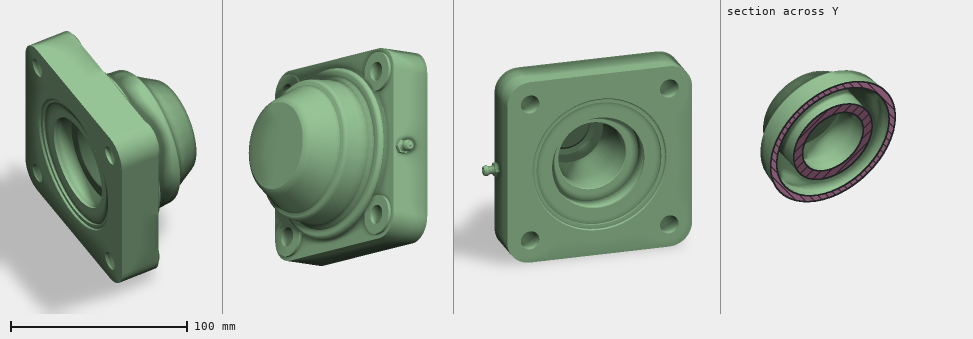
import cadquery as cq
import math


OVERALL_LENGTH = 119.0

PLATE_SIDE = 110.0
PLATE_THICKNESS = 24.2
CORNER_RADIUS = 13.6
BOLT_OFFSET = 41.4
BOLT_HOLE_DIAMETER = 11.0
PAD_RADIUS = 11.2
PAD_HEIGHT = 1.9
SEAT_RING_RADIUS = 47.6
SEAT_RING_HEIGHT = 2.3
SEAT_RADIUS = 39.5
SEAT_CHAMFER = 0.5
SEAT_END = PLATE_THICKNESS + SEAT_RING_HEIGHT

OPEN_COVER_FRONT = 1.3
OPEN_COVER_RIM_INNER_RADIUS = 37.1
OPEN_COVER_DISC_FRONT = 2.7
OPEN_COVER_BACK = 4.3
OPENING_RADIUS = 27.5

MOUTH_END = 6.4
MOUTH_FLARE = 0.6
INNER_RING_FRONT = 14.2
INNER_RING_BACK = 57.1
INNER_RING_RADIUS = 26.2
BORE_RADIUS = 20.0
BORE_CHAMFER = 0.4

COVER_END = 66.0
COVER_WALL = 2.4
COVER_FLANGE_RADIUS = 49.0
COVER_FLANGE_BACK = 29.6
COVER_FLANGE_FILLET = 2.1
COVER_FLANGE_CHAMFER = 0.4
FOOT_RADIUS = 43.8
SKIRT_START = 32.0
SKIRT_START_RADIUS = 41.6
SKIRT_END = 45.5
SKIRT_END_RADIUS = 40.3
SHOULDER_END = 47.7
SHOULDER_END_RADIUS = 38.1
CAP_START = 48.3
CAP_START_RADIUS = 36.5
CAP_END = 63.4
CAP_END_RADIUS = 28.0
CAP_FACE_RADIUS = 24.9

GROOVE_OUTER_RADIUS = 17.8
GROOVE_BOTTOM_RADIUS = 14.9
GROOVE_INNER_RADIUS = 13.3
GROOVE_DEPTH = 1.4

NIPPLE_Y = 18.8
NIPPLE_Z = -3.6
NIPPLE_LENGTH = OVERALL_LENGTH - PLATE_SIDE
HEX_ACROSS_FLATS = 7.3
HEX_HEIGHT = 2.3
NECK_BASE_RADIUS = 3.1
NECK_RADIUS = 2.3
NECK_THINNEST = 4.2
HEAD_START = 5.4
HEAD_START_RADIUS = 2.5
HEAD_WIDEST = 6.2
HEAD_RADIUS = 3.2
HEAD_SHOULDER = 7.5
HEAD_SHOULDER_RADIUS = 3.0
HEAD_END = 8.5
HEAD_END_RADIUS = 2.4
BALL_RADIUS = 1.3


def revolve_about_y(profile):
    """Close an XY profile of (radius, y) points and turn it about the Y axis."""
    return profile.close().revolve(360, (0, 0, 0), (0, 1, 0))


def cylinder_along_y(radius, start, end, places=((0, 0),)):
    """Cylinders along +Y from start to end, centred at the given (x, z) places."""
    plane = cq.Workplane("XZ", origin=(0, start, 0))
    return plane.pushPoints(places).circle(radius).extrude(start - end)


def make_housing():
    bolts = [(x, z) for x in (-BOLT_OFFSET, BOLT_OFFSET) for z in (-BOLT_OFFSET, BOLT_OFFSET)]
    plate = cq.Workplane("XZ").rect(PLATE_SIDE, PLATE_SIDE).extrude(-PLATE_THICKNESS)
    plate = plate.edges("|Y").fillet(CORNER_RADIUS)
    pads = cylinder_along_y(PAD_RADIUS, 0, PLATE_THICKNESS + PAD_HEIGHT, bolts)
    cove_reach = SEAT_RING_HEIGHT * (1 - math.sqrt(0.5))
    ring = revolve_about_y(
        cq.Workplane("XY")
        .lineTo(SEAT_RING_RADIUS + SEAT_RING_HEIGHT, 0)
        .lineTo(SEAT_RING_RADIUS + SEAT_RING_HEIGHT, PLATE_THICKNESS)
        .threePointArc(
            (SEAT_RING_RADIUS + cove_reach, PLATE_THICKNESS + cove_reach),
            (SEAT_RING_RADIUS, SEAT_END),
        )
        .lineTo(0, SEAT_END)
    )
    bolt_holes = cylinder_along_y(BOLT_HOLE_DIAMETER / 2, 0, SEAT_END, bolts)
    seat = revolve_about_y(
        cq.Workplane("XY")
        .lineTo(SEAT_RADIUS + SEAT_CHAMFER, 0)
        .lineTo(SEAT_RADIUS, SEAT_CHAMFER)
        .lineTo(SEAT_RADIUS, SEAT_END)
        .lineTo(0, SEAT_END)
    )
    return plate.union(pads).union(ring).cut(bolt_holes).cut(seat)


def make_open_cover():
    return revolve_about_y(
        cq.Workplane("XY")
        .moveTo(OPENING_RADIUS, OPEN_COVER_DISC_FRONT)
        .lineTo(OPEN_COVER_RIM_INNER_RADIUS, OPEN_COVER_DISC_FRONT)
        .lineTo(OPEN_COVER_RIM_INNER_RADIUS, OPEN_COVER_FRONT)
        .lineTo(SEAT_RADIUS, OPEN_COVER_FRONT)
        .lineTo(SEAT_RADIUS, OPEN_COVER_BACK)
        .lineTo(OPENING_RADIUS, OPEN_COVER_BACK)
    )


def make_bearing():
    return revolve_about_y(
        cq.Workplane("XY")
        .moveTo(BORE_RADIUS, INNER_RING_FRONT + BORE_CHAMFER)
        .lineTo(BORE_RADIUS + BORE_CHAMFER, INNER_RING_FRONT)
        .lineTo(OPENING_RADIUS, INNER_RING_FRONT)
        .lineTo(OPENING_RADIUS, MOUTH_END)
        .lineTo(OPENING_RADIUS + MOUTH_FLARE, OPEN_COVER_BACK)
        .lineTo(SEAT_RADIUS, OPEN_COVER_BACK)
        .lineTo(SEAT_RADIUS, SEAT_END)
        .lineTo(INNER_RING_RADIUS, SEAT_END)
        .lineTo(INNER_RING_RADIUS, INNER_RING_BACK)
        .lineTo(BORE_RADIUS, INNER_RING_BACK)
    )


def make_closed_cover():
    fillet_reach = COVER_FLANGE_FILLET * math.sqrt(0.5)
    fillet_radius_centre = COVER_FLANGE_RADIUS - COVER_FLANGE_FILLET
    fillet_y_centre = COVER_FLANGE_BACK - COVER_FLANGE_FILLET
    floor = COVER_END - COVER_WALL
    return revolve_about_y(
        cq.Workplane("XY")
        .moveTo(SEAT_RADIUS - COVER_WALL, SEAT_END)
        .lineTo(COVER_FLANGE_RADIUS - COVER_FLANGE_CHAMFER, SEAT_END)
        .lineTo(COVER_FLANGE_RADIUS, SEAT_END + COVER_FLANGE_CHAMFER)
        .lineTo(COVER_FLANGE_RADIUS, fillet_y_centre)
        .threePointArc(
            (fillet_radius_centre + fillet_reach, fillet_y_centre + fillet_reach),
            (fillet_radius_centre, COVER_FLANGE_BACK),
        )
        .lineTo(FOOT_RADIUS, COVER_FLANGE_BACK)
        .lineTo(SKIRT_START_RADIUS, SKIRT_START)
        .lineTo(SKIRT_END_RADIUS, SKIRT_END)
        .tangentArcPoint((SHOULDER_END_RADIUS, SHOULDER_END), relative=False)
        .lineTo(CAP_START_RADIUS, CAP_START)
        .lineTo(CAP_END_RADIUS, CAP_END)
        .tangentArcPoint((CAP_FACE_RADIUS, COVER_END), relative=False)
        .lineTo(0, COVER_END)
        .lineTo(0, floor)
        .lineTo(GROOVE_INNER_RADIUS, floor)
        .lineTo(GROOVE_BOTTOM_RADIUS, floor + GROOVE_DEPTH)
        .lineTo(GROOVE_OUTER_RADIUS, floor)
        .lineTo(CAP_FACE_RADIUS, floor)
        .lineTo(CAP_START_RADIUS - COVER_WALL, CAP_START - COVER_WALL)
        .lineTo(SEAT_RADIUS - COVER_WALL, SKIRT_END - COVER_WALL)
    )


def make_nipple():
    """The nipple is made pointing along +Z from its hexagon, then turned to point along -X."""
    across_corners = HEX_ACROSS_FLATS / math.cos(math.radians(30))
    hexagon = cq.Workplane("XY").polygon(6, across_corners).extrude(HEX_HEIGHT)
    neck_and_head = (
        cq.Workplane("XZ")
        .lineTo(NECK_BASE_RADIUS, 0)
        .lineTo(NECK_BASE_RADIUS, HEX_HEIGHT)
        .threePointArc((NECK_RADIUS, NECK_THINNEST), (HEAD_START_RADIUS, HEAD_START))
        .lineTo(HEAD_RADIUS, HEAD_WIDEST)
        .threePointArc((HEAD_SHOULDER_RADIUS, HEAD_SHOULDER), (HEAD_END_RADIUS, HEAD_END))
        .lineTo(0, HEAD_END)
        .close()
        .revolve(360, (0, 0, 0), (0, 1, 0))
    )
    ball = cq.Workplane("XY").sphere(BALL_RADIUS).translate((0, 0, NIPPLE_LENGTH - BALL_RADIUS))
    nipple = hexagon.rotate((0, 0, 0), (0, 0, 1), 90).union(neck_and_head).union(ball)
    nipple = nipple.rotate((0, 0, 0), (0, 1, 0), -90)
    return nipple.translate((-PLATE_SIDE / 2, NIPPLE_Y, NIPPLE_Z))


housing = make_housing()
open_cover = make_open_cover()
bearing = make_bearing()
closed_cover = make_closed_cover()
nipple = make_nipple()

result = cq.Compound.makeCompound(
    [housing.val(), open_cover.val(), bearing.val(), closed_cover.val(), nipple.val()]
)